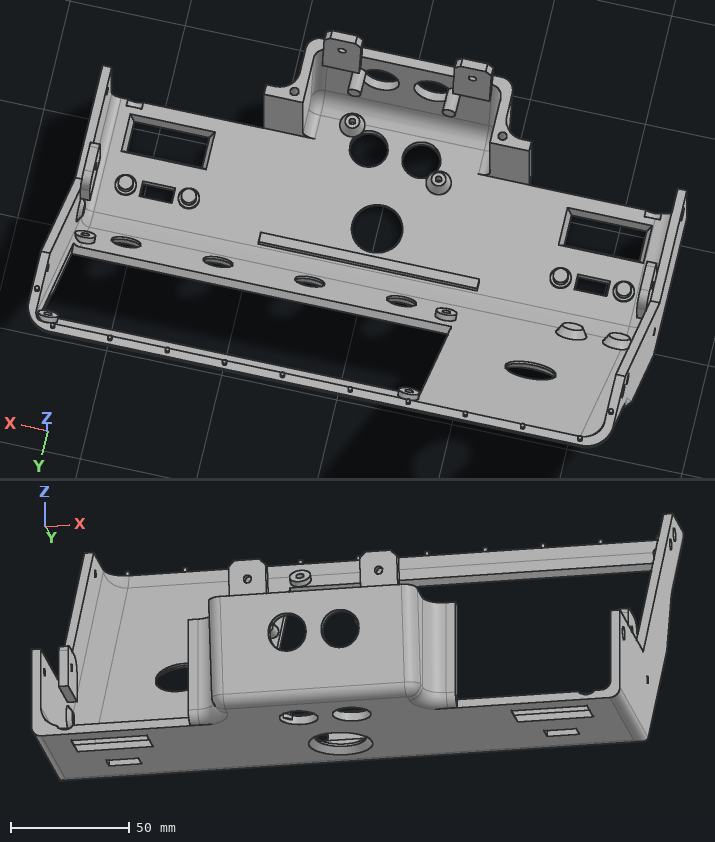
import cadquery as cq
import math

WIDTH = 254.0
HALF_WIDTH = WIDTH / 2
SHEET = 3.8
SIDE_WALL = 4.0
SIDE_HEIGHT = 39.4
RIM_Z = 125.7
RIM_ALLOWANCE = 5.0
BACK_Y = 152.1
BEND_Y = 60.0
SLOPE_DEG = 52.7
ARM_WIDTH = 30.2
BEND_INNER_RADIUS = 11.0
BEND_OUTER_RADIUS = BEND_INNER_RADIUS + SHEET
LEFT_INNER_RADIUS = 9.1
RIGHT_INNER_RADIUS = 4.0

SIN = math.sin(math.radians(SLOPE_DEG))
COS = math.cos(math.radians(SLOPE_DEG))
TAN = SIN / COS
HALF_BEND_TAN = math.tan(math.radians(SLOPE_DEG / 2))

PANEL_EDGE_RADIUS = 11.5
ROUND_START = 105.5
ROUND_FADE_END = 74.7
FADED_RADIUS = 0.3
FLOOR_EDGE_RADIUS = 4.3

HOLE_LIP = 1.0
HOLE_FLARE = 2.8

WINDOW_X = (-42.7, 121.7)
WINDOW_SLOPE = (36.8, 138.5)
DIAL_HOLE = (-82.0, 73.0)
DIAL_DIAMETER = 21.8
BUTTON_DIAMETER = 12.7
BUTTON_SLOPE = 17.0
BUTTON_PITCH = 40.0
BUTTON_COUNT = 4
BUTTON_FIRST_X = -18.3

SCREW_X = (-38.5, 118.4)
SCREW_SLOPE = (26.2, 143.3)
SCREW_DIAMETER = 9.0
SCREW_HOLE = 3.3
SCREW_HEIGHT = 2.5
STUD_X = (-111.8, -91.5)
STUD_SLOPE = 13.0
STUD_BASE = 13.2
STUD_TOP = 9.0
STUD_HEIGHT = 3.5

CENTRE_HOLE_Y = 33.5
CENTRE_HOLE_DIAMETER = 21.5
PORT_X = 11.5
PORT_DIAMETER = 16.3
FLOOR_PORT_Y = -0.8
RIB_LENGTH = 95.0
RIB_WIDTH = 4.3
RIB_HEIGHT = 3.0
RIB_Y = 49.3
VENT_X = 95.0
VENT_Y = 15.0
VENT_SIZE = (32.5, 13.7)
VENT_RECESS = (36.8, 17.3)
SLOT_X = 94.5
SLOT_Y = 38.0
SLOT_SIZE = (14.0, 6.9)
PEG_SPACING = 27.5
PEG_BASE = 9.0
PEG_TOP = 6.4
PEG_BASE_HEIGHT = 1.0
PEG_HEIGHT = 3.8
FLOOR_SCREWS = ((-20.8, 7.5), (20.5, -9.7))
FLOOR_SCREW_BASE = 10.7
FLOOR_SCREW_TOP = 6.0
FLOOR_SCREW_HOLE = 2.5
FLOOR_SCREW_HEIGHT = 4.5
NOTCH_X = 112.5
NOTCH_RADIUS = 4.0
NOTCH_Z = 6.0
NOTCH_LENGTH = 3.0

POCKET_X = -0.8
POCKET_HALF = 45.0
POCKET_HEIGHT = 46.2
POCKET_FRONT_Y = -30.0
POCKET_WALL = 4.3
POCKET_TILT_DEG = 9.5
POCKET_CORNER = 5.8
POCKET_BOTTOM_RADIUS = 5.5
POCKET_INNER_FRONT_RADIUS = 9.0
POCKET_INNER_SIDE_RADIUS = 5.0
POCKET_OVERLAP = 7.5
FLANGE_HALF = 57.7
FLANGE_THICKNESS = 4.5
FLANGE_RADIUS = 8.6
FLANGE_HOLE_X = 45.2
FLANGE_HOLE_Y = -4.0
FLANGE_HOLE = 3.5
FLANGE_HOLE_DEPTH = 10.2
PORT_Z = 29.2
POST_X = 20.5
POST_Z = 33.0
POST_DIAMETER = 5.5
POST_LENGTH = 10.7

LUG_X = (-28.5, 28.2)
LUG_WIDTH = 16.0
LUG_THICKNESS = 4.0
LUG_TOP_Z = 62.5
LUG_BOTTOM_Z = 38.0
LUG_OVERLAP = 0.5
LUG_CHAMFER = 2.5
LUG_HOLE_Z = 53.5
LUG_HOLE = 3.3
EAR_Y = (40.0, 59.7)
EAR_Z = (36.8, 55.5)
EAR_BACK_RADIUS = 6.4
EAR_FRONT_RADIUS = 2.5
EAR_HOLE = (48.0, 48.0)
SIDE_HOLE = 3.0

BOSSED_HOLE = (62.0, 30.2)
BOSSED_BASE = 11.2
BOSSED_TOP = 5.0
BOSSED_HEIGHT = 2.0
COUNTERBORED_HOLES = ((8.5, 31.8), (121.5, 117.3))
COUNTERBORE = 5.5
COUNTERBORE_DEPTH = 1.8
DIMPLE = (113.0, 110.0)
DIMPLE_DIAMETER = 4.5

PIN_DIAMETER = 1.8
PIN_HEIGHT = 2.0
PIN_BACK_X = (14.7, 40.0, 64.8, 89.7, 114.5)
PIN_BACK_Y = 149.5
PIN_SIDE_X = 124.7
PIN_SIDE_Y = 135.0


def slope_frame(x=0.0, slope=0.0, height=0.0):
    """Workplane on the panel: local X along X, local Y up the slope, normal pointing inward."""
    origin = (x, BEND_Y + slope * COS - height * SIN, slope * SIN + height * COS)
    return cq.Workplane(cq.Plane(origin=origin, xDir=(1, 0, 0), normal=(0, -SIN, COS)))


def bent_prism(inset, half_width, bend_radius):
    """Solid filling the side outline, with floor, panel and back moved inward by inset.

    It runs a little above the rim so that the back bend is complete.
    """
    top_z = RIM_Z + RIM_ALLOWANCE
    floor_corner = (BEND_Y - inset * HALF_BEND_TAN, inset)
    back_corner = (BACK_Y - inset, inset + (BACK_Y - inset - floor_corner[0]) * TAN)
    arm_y = BEND_Y - ARM_WIDTH / SIN
    outline = [
        (0, inset),
        floor_corner,
        back_corner,
        (BACK_Y - inset, top_z),
        (arm_y + top_z / TAN, top_z),
        (arm_y + SIDE_HEIGHT / TAN, SIDE_HEIGHT),
        (0, SIDE_HEIGHT),
    ]
    solid = cq.Workplane("YZ").polyline(outline).close().extrude(half_width, both=True)
    for corner in (floor_corner, back_corner):
        solid = solid.edges(cq.NearestToPointSelector((0, *corner))).fillet(bend_radius)
    return solid


def edge_on_panel(x, slope, height):
    """Selector for the long edge running up the panel at the given X."""
    return cq.NearestToPointSelector(slope_frame(x, slope, height).plane.origin.toTuple())


def corner_section(plane, radius):
    """Outline of the material lost when a square corner at the plane origin gets a radius."""
    mid = radius * (1 - math.sqrt(0.5))
    return cq.Workplane(plane).lineTo(radius, 0).threePointArc((mid, mid), (0, radius)).close()


def round_panel_edges(body):
    """Round the upper outer edges of the panel and fade the rounding out further down."""
    far = 2 * WIDTH
    splitter = slope_frame(0, ROUND_START + far / 2).box(far, far, far)
    upper = body.intersect(splitter)
    lower = body.cut(splitter)
    for x in (-HALF_WIDTH, HALF_WIDTH):
        upper = upper.edges(edge_on_panel(x, WINDOW_SLOPE[1], 0)).fillet(PANEL_EDGE_RADIUS)
    fade_length = ROUND_START - ROUND_FADE_END
    start = cq.Plane(
        origin=slope_frame(-HALF_WIDTH, ROUND_START).plane.origin.toTuple(),
        xDir=(1, 0, 0),
        normal=(0, -COS, -SIN),
    )
    end = start.origin + start.zDir * fade_length
    end_plane = cq.Plane(origin=end.toTuple(), xDir=(1, 0, 0), normal=start.zDir.toTuple())
    wires = [
        corner_section(start, PANEL_EDGE_RADIUS).val(),
        corner_section(end_plane, FADED_RADIUS).val(),
    ]
    fade = cq.Workplane(cq.Solid.makeLoft(wires, True))
    lower = lower.cut(fade).cut(fade.mirror("YZ"))
    return upper.union(lower)


def outer_body():
    body = round_panel_edges(bent_prism(0, HALF_WIDTH, BEND_OUTER_RADIUS))
    floor_corner = cq.Plane(origin=(-HALF_WIDTH, 0, 0), xDir=(0, 0, 1), normal=(0, 1, 0))
    rounding = corner_section(floor_corner, FLOOR_EDGE_RADIUS).extrude(BEND_Y + FLOOR_EDGE_RADIUS)
    return body.cut(rounding).cut(rounding.mirror("YZ"))


def cavity():
    inner_half = HALF_WIDTH - SIDE_WALL
    space = bent_prism(SHEET, inner_half, BEND_INNER_RADIUS)
    for x, radius in ((-inner_half, LEFT_INNER_RADIUS), (inner_half, RIGHT_INNER_RADIUS)):
        space = space.edges(edge_on_panel(x, WINDOW_SLOPE[0], SHEET)).fillet(radius)
    return space


def cone(workplane, base_diameter, top_diameter, height, sink=SHEET / 2):
    """Round boss tapering away from the workplane, sunk a little into the material below."""
    root = workplane.workplane(offset=-sink).circle(base_diameter / 2).extrude(sink)
    taper = (
        workplane.circle(base_diameter / 2)
        .workplane(offset=height)
        .circle(top_diameter / 2)
        .loft(combine=True)
    )
    return root.union(taper)


def flared_hole(workplane, diameter):
    """Cutter for a hole through the sheet, starting at its outer face and widening toward it."""
    bore = workplane.circle(diameter / 2).extrude(2 * SHEET)
    flare = (
        workplane.circle(diameter / 2 + HOLE_FLARE)
        .workplane(offset=SHEET - HOLE_LIP)
        .circle(diameter / 2)
        .loft(combine=True)
    )
    return bore.union(flare)


def floor_frame(x, y, z=SHEET):
    return cq.Workplane("XY", origin=(x, y, z))


def side_frame(y, z, x):
    return cq.Workplane("YZ", origin=(x, y, z))


def cut_panel_openings(body):
    low, high = WINDOW_SLOPE
    left, right = WINDOW_X
    window_depth = SHEET + 2 * RIGHT_INNER_RADIUS
    window = slope_frame((left + right) / 2, (low + high) / 2).rect(right - left, high - low)
    body = body.cut(window.extrude(window_depth, both=True))
    button_x = [BUTTON_FIRST_X + i * BUTTON_PITCH for i in range(BUTTON_COUNT)]
    holes = [(*DIAL_HOLE, DIAL_DIAMETER)]
    holes += [(x, BUTTON_SLOPE, BUTTON_DIAMETER) for x in button_x]
    for x, slope, diameter in holes:
        body = body.cut(flared_hole(slope_frame(x, slope), diameter))
    return body


def add_panel_bosses(body):
    for x in SCREW_X:
        for slope in SCREW_SLOPE:
            frame = slope_frame(x, slope, SHEET)
            body = body.union(cone(frame, SCREW_DIAMETER, SCREW_DIAMETER, SCREW_HEIGHT))
            body = body.cut(frame.circle(SCREW_HOLE / 2).extrude(SCREW_HEIGHT))
    for x in STUD_X:
        body = body.union(cone(slope_frame(x, STUD_SLOPE, SHEET), STUD_BASE, STUD_TOP, STUD_HEIGHT))
    return body


def cut_floor_openings(body):
    through = 2 * SHEET
    body = body.cut(flared_hole(floor_frame(0, CENTRE_HOLE_Y, 0), CENTRE_HOLE_DIAMETER))
    for side in (-1, 1):
        port = floor_frame(side * PORT_X, FLOOR_PORT_Y, 0).circle(PORT_DIAMETER / 2).extrude(through)
        vent = (
            floor_frame(side * VENT_X, VENT_Y, 0)
            .rect(*VENT_SIZE)
            .workplane(offset=SHEET)
            .rect(*VENT_RECESS)
            .loft(combine=True)
        )
        slot = floor_frame(side * SLOT_X, SLOT_Y, 0).rect(*SLOT_SIZE).extrude(through)
        notch = (
            cq.Workplane("XZ", origin=(side * NOTCH_X, NOTCH_LENGTH, NOTCH_Z))
            .circle(NOTCH_RADIUS)
            .extrude(NOTCH_LENGTH)
        )
        body = body.cut(port).cut(vent).cut(slot).cut(notch)
    return body


def add_floor_bosses(body):
    rib = floor_frame(0, RIB_Y, SHEET / 2).rect(RIB_LENGTH, RIB_WIDTH).extrude(SHEET / 2 + RIB_HEIGHT)
    body = body.union(rib)
    for side in (-1, 1):
        for offset in (-PEG_SPACING / 2, PEG_SPACING / 2):
            frame = floor_frame(side * SLOT_X + offset, SLOT_Y)
            body = body.union(cone(frame, PEG_BASE, PEG_BASE, PEG_BASE_HEIGHT))
            body = body.union(cone(frame, PEG_TOP, PEG_TOP, PEG_HEIGHT))
    for x, y in FLOOR_SCREWS:
        frame = floor_frame(x, y)
        body = body.union(cone(frame, FLOOR_SCREW_BASE, FLOOR_SCREW_TOP, FLOOR_SCREW_HEIGHT))
        body = body.cut(frame.circle(FLOOR_SCREW_HOLE / 2).extrude(FLOOR_SCREW_HEIGHT))
    return body


def front_frame(x, z, depth):
    """Workplane facing back into the pocket, at a depth behind its tilted front face."""
    tilt = math.radians(POCKET_TILT_DEG)
    y = POCKET_FRONT_Y + (POCKET_HEIGHT - z) * math.tan(tilt) + depth / math.cos(tilt)
    normal = (0, math.cos(tilt), math.sin(tilt))
    return cq.Workplane(cq.Plane(origin=(x, y, z), xDir=(-1, 0, 0), normal=normal))


def cut_front(solid, depth):
    """Trim everything in front of the tilted plane at the given depth."""
    far = 2 * WIDTH
    trim = front_frame(0, POCKET_HEIGHT, depth).workplane(offset=-far / 2).box(far, far, far)
    return solid.cut(trim)


def pocket_outside():
    front = 2 * POCKET_FRONT_Y
    side_y = -FLANGE_THICKNESS - FLANGE_RADIUS
    arc_shift = FLANGE_RADIUS * math.sqrt(0.5)
    arc_x = POCKET_HALF + FLANGE_RADIUS
    outline = (
        cq.Workplane("XY")
        .moveTo(FLANGE_HALF, POCKET_OVERLAP)
        .lineTo(FLANGE_HALF, -FLANGE_THICKNESS)
        .lineTo(arc_x, -FLANGE_THICKNESS)
        .threePointArc((arc_x - arc_shift, side_y + arc_shift), (POCKET_HALF, side_y))
        .lineTo(POCKET_HALF, front)
        .lineTo(-POCKET_HALF, front)
        .lineTo(-POCKET_HALF, side_y)
        .threePointArc((arc_shift - arc_x, side_y + arc_shift), (-arc_x, -FLANGE_THICKNESS))
        .lineTo(-FLANGE_HALF, -FLANGE_THICKNESS)
        .lineTo(-FLANGE_HALF, POCKET_OVERLAP)
        .close()
    )
    solid = cut_front(outline.extrude(POCKET_HEIGHT), 0)
    front_y = front_frame(0, POCKET_HEIGHT / 2, 0).plane.origin.y
    for x in (-POCKET_HALF, POCKET_HALF):
        corner = cq.NearestToPointSelector((x, front_y, POCKET_HEIGHT / 2))
        solid = solid.edges(corner).fillet(POCKET_CORNER)
    bottom_front = cq.NearestToPointSelector((0, front_frame(0, 0, 0).plane.origin.y, 0))
    solid = solid.edges(bottom_front).fillet(POCKET_BOTTOM_RADIUS)
    behind = floor_frame(0, WIDTH / 2, 0).box(WIDTH, WIDTH, WIDTH)
    return solid.cut(behind)


def pocket_inside():
    half = POCKET_HALF - POCKET_WALL
    length = POCKET_OVERLAP - 2 * POCKET_FRONT_Y
    middle_y = POCKET_OVERLAP - length / 2
    block = floor_frame(0, middle_y).rect(2 * half, length).extrude(POCKET_HEIGHT)
    block = cut_front(block, POCKET_WALL)
    block = block.faces("<Z").edges("<Y").fillet(POCKET_INNER_FRONT_RADIUS)
    return block.faces("<Z").edges("<X or >X").fillet(POCKET_INNER_SIDE_RADIUS)


def add_pocket(body):
    body = body.union(pocket_outside().translate((POCKET_X, 0, 0)))
    body = body.cut(pocket_inside().translate((POCKET_X, 0, 0)))
    for side in (-1, 1):
        port = front_frame(side * PORT_X, PORT_Z, 0).circle(PORT_DIAMETER / 2)
        body = body.cut(port.extrude(2 * POCKET_WALL, both=True))
        flange_hole = floor_frame(POCKET_X + side * FLANGE_HOLE_X, FLANGE_HOLE_Y, POCKET_HEIGHT)
        body = body.cut(flange_hole.circle(FLANGE_HOLE / 2).extrude(-FLANGE_HOLE_DEPTH))
        post = front_frame(side * POST_X, POST_Z, POCKET_WALL / 2).circle(POST_DIAMETER / 2)
        body = body.union(post.extrude(POCKET_WALL / 2 + POST_LENGTH))
    return body


def add_front_lugs(body):
    stretch = 1 / math.cos(math.radians(POCKET_TILT_DEG))
    height = (LUG_TOP_Z - LUG_BOTTOM_Z) * stretch
    for x in LUG_X:
        frame = front_frame(x, (LUG_TOP_Z + LUG_BOTTOM_Z) / 2, POCKET_WALL - LUG_OVERLAP)
        lug = frame.rect(LUG_WIDTH, height).extrude(LUG_THICKNESS)
        lug = lug.faces(">Z").edges("not |X").edges("<X or >X").chamfer(LUG_CHAMFER)
        hole = front_frame(x, LUG_HOLE_Z, 0).circle(LUG_HOLE / 2).extrude(WIDTH)
        body = body.union(lug.cut(hole))
    return body


def add_side_ears(body):
    front, back = EAR_Y
    bottom, top = EAR_Z
    ear = (
        side_frame((front + back) / 2, (bottom + top) / 2, -HALF_WIDTH + SIDE_WALL)
        .rect(back - front, top - bottom)
        .extrude(SIDE_WALL)
        .edges("|X and >Z and >Y")
        .fillet(EAR_BACK_RADIUS)
        .edges("|X and >Z and <Y")
        .fillet(EAR_FRONT_RADIUS)
    )
    ear = ear.cut(side_frame(*EAR_HOLE, -HALF_WIDTH).circle(SIDE_HOLE / 2).extrude(WIDTH))
    return body.union(ear).union(ear.mirror("YZ"))


def add_side_holes(body):
    inner = -HALF_WIDTH + SIDE_WALL
    boss = cone(side_frame(*BOSSED_HOLE, inner), BOSSED_BASE, BOSSED_TOP, BOSSED_HEIGHT)
    body = body.union(boss).union(boss.mirror("YZ"))
    for y, z in (BOSSED_HOLE, *COUNTERBORED_HOLES):
        body = body.cut(side_frame(y, z, 0).circle(SIDE_HOLE / 2).extrude(WIDTH, both=True))
    recesses = [(*place, COUNTERBORE) for place in COUNTERBORED_HOLES] + [(*DIMPLE, DIMPLE_DIAMETER)]
    for y, z, diameter in recesses:
        recess = side_frame(y, z, -HALF_WIDTH).circle(diameter / 2).extrude(COUNTERBORE_DEPTH)
        body = body.cut(recess).cut(recess.mirror("YZ"))
    return body


def add_rim_pins(body):
    places = [(x, PIN_BACK_Y) for x in PIN_BACK_X] + [(PIN_SIDE_X, PIN_SIDE_Y)]
    for x, y in places:
        for side in (-1, 1):
            frame = floor_frame(side * x, y, RIM_Z)
            body = body.union(cone(frame, PIN_DIAMETER, PIN_DIAMETER, PIN_HEIGHT))
    return body


above_rim = floor_frame(0, BACK_Y, RIM_Z + WIDTH / 2).box(2 * WIDTH, WIDTH, WIDTH)
tray = outer_body().cut(cavity()).cut(above_rim)
tray = cut_panel_openings(tray)
tray = add_panel_bosses(tray)
tray = add_pocket(tray)
tray = cut_floor_openings(tray)
tray = add_floor_bosses(tray)
tray = add_front_lugs(tray)
tray = add_side_ears(tray)
tray = add_side_holes(tray)
result = add_rim_pins(tray)